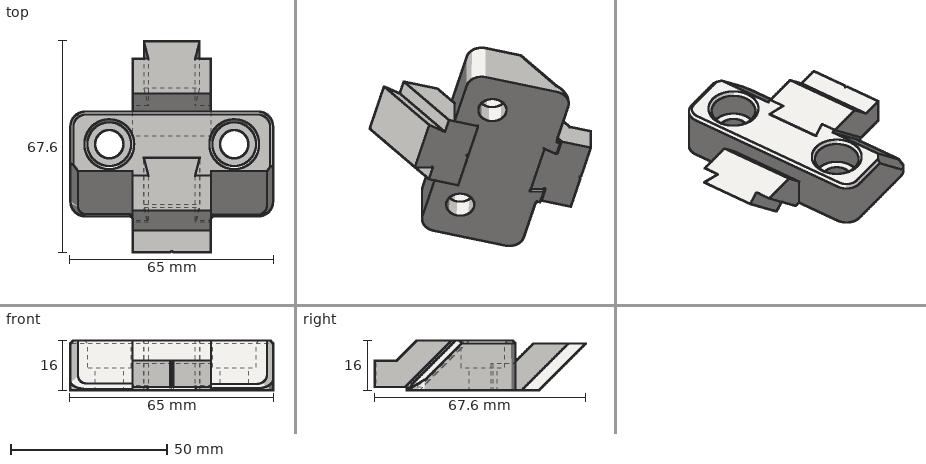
import cadquery as cq
import math


housing_width = 65.0
housing_height = 16.0
back_y = 10.5
ramp_top_y = -8.66
wall_height = 1.5
front_y = ramp_top_y - (housing_height - wall_height)
corner_radius = 5.0
top_chamfer = 1.0
left_bevel = 2.5
right_bevel = 2.0

pad_width = 25.0
pad_rise = 1.3
pad_top_y = ramp_top_y - pad_rise
pad_front_y = front_y - pad_rise
pad_blend_radius = 1.0

bolt_spacing = 40.0
bolt_diameter = 9.0
head_diameter = 14.0
head_depth = 8.8
head_chamfer = 1.0

neck_width = 15.0
tail_width = 17.9
tail_length = 5.6
slot_length = 5.75
tail_flare = (tail_width - neck_width) / (2 * tail_length)

slider_height = 15.0
slider_land = 11.2
slider_step = 6.5
tongue_length = 7.0
groove_width = 1.0
groove_depth = 0.5
working_position = (pad_top_y, housing_height - slider_height)
slider_travel = 37.34
stored_position = (pad_top_y + slider_travel, 0.0)

CUT_MARGIN = 10.0
BEVEL_OVERSHOOT = 0.2
BEVEL_REACH = 1.5
BLEND_SWEEP_END = -50
ARC_STEPS = 8


def prism_along_x(points, x_start, x_end):
    """Prism with a (y, z) outline between two X positions."""
    return cq.Workplane("YZ").workplane(offset=x_start).polyline(points).close().extrude(x_end - x_start)


def dovetail(shoulder_y, top_z, height, length):
    """Dovetail bar that runs down and forward at 45 degrees from a horizontal top outline."""
    end_width = neck_width + 2 * tail_flare * length
    outline = [
        (-neck_width / 2, shoulder_y, top_z),
        (-end_width / 2, shoulder_y + length, top_z),
        (end_width / 2, shoulder_y + length, top_z),
        (neck_width / 2, shoulder_y, top_z),
    ]
    wire = cq.Wire.makePolygon([cq.Vector(*point) for point in outline], close=True)
    return cq.Workplane(cq.Solid.extrudeLinear(wire, [], cq.Vector(0, -height, -height)))


def slider_profile(shoulder_y, bottom_z):
    """Side outline of a slider without its dovetail."""
    top_z = bottom_z + slider_height
    slope_y = shoulder_y - slider_land
    tongue_y = slope_y - slider_step
    return [
        (shoulder_y, top_z),
        (slope_y, top_z),
        (tongue_y, top_z - slider_step),
        (tongue_y - tongue_length, top_z - slider_step),
        (tongue_y - tongue_length, bottom_z),
        (shoulder_y - slider_height, bottom_z),
    ]


def slider_blank(shoulder_y, bottom_z):
    """Slider with its dovetail, before the tongue is grooved."""
    body = prism_along_x(slider_profile(shoulder_y, bottom_z), -pad_width / 2, pad_width / 2)
    return body.union(dovetail(shoulder_y, bottom_z + slider_height, slider_height, tail_length))


def make_slider(shoulder_y, bottom_z):
    """Slider with a vertical V groove marking the middle of its tongue."""
    tip_y = shoulder_y - slider_land - slider_step - tongue_length
    groove = (
        cq.Workplane("XY").workplane(offset=bottom_z)
        .polyline([(-groove_width / 2, tip_y), (0, tip_y + groove_depth), (groove_width / 2, tip_y)])
        .close().extrude(slider_height)
    )
    return slider_blank(shoulder_y, bottom_z).cut(groove)


def ramp_cutter(top_y, x_start, x_end):
    """Removes everything above a 45 degree face that leaves the top at top_y."""
    drop = housing_height + CUT_MARGIN
    outline = [
        (top_y + CUT_MARGIN, housing_height + CUT_MARGIN),
        (top_y - drop, housing_height + CUT_MARGIN),
        (top_y - drop, housing_height - drop),
    ]
    return prism_along_x(outline, x_start, x_end)


def bevel_section(ball_radius, wall_x, wall_y, normal_angle):
    """Triangle cut from the ramp edge at a wall point whose outward normal has the given angle."""
    wall_normal = cq.Vector(math.cos(normal_angle), math.sin(normal_angle), 0)
    ramp_normal = cq.Vector(0, -math.sqrt(0.5), math.sqrt(0.5))
    ball_x = wall_x - ball_radius * wall_normal.x
    ball_y = wall_y - ball_radius * wall_normal.y
    ball_z = housing_height + ball_y - ramp_top_y - ball_radius * math.sqrt(2)
    ball = cq.Vector(ball_x, ball_y, ball_z)
    on_wall = ball + wall_normal * ball_radius
    on_ramp = ball + ramp_normal * ball_radius
    overshoot = (on_wall - on_ramp) * BEVEL_OVERSHOOT
    outside = ball + (wall_normal + ramp_normal) * (BEVEL_REACH * ball_radius)
    return cq.Wire.makePolygon([on_wall + overshoot, outside, on_ramp - overshoot], close=True)


def arc_sections(ball_radius, center_x, center_y, radius, start, end):
    """Bevel sections round an arc of the wall; a negative radius gives a hollow corner."""
    sections = []
    for step in range(ARC_STEPS + 1):
        angle = math.radians(start + (end - start) * step / ARC_STEPS)
        wall_x = center_x + radius * math.cos(angle)
        wall_y = center_y + radius * math.sin(angle)
        sections.append(bevel_section(ball_radius, wall_x, wall_y, angle))
    return sections


def bevel_cutters(ball_radius):
    """Cutters that bevel the +X ramp: side wall, round corner, front wall and the blend into the pad."""
    corner_center = (housing_width / 2 - corner_radius, front_y + corner_radius)
    blend_center = (pad_width / 2 + pad_blend_radius, front_y - pad_blend_radius)
    corner = arc_sections(ball_radius, *corner_center, corner_radius, 0, -90)
    blend = arc_sections(ball_radius, *blend_center, -pad_blend_radius, -90, BLEND_SWEEP_END)
    side_start = bevel_section(ball_radius, housing_width / 2, 0, 0)
    beside_pad = (
        cq.Workplane("XY")
        .box(housing_width, 2 * housing_width, 4 * housing_height, centered=(False, True, True))
        .translate((pad_width / 2, 0, 0))
    )
    return [
        cq.Workplane(cq.Solid.makeLoft([side_start, corner[0]], True)),
        cq.Workplane(cq.Solid.makeLoft(corner)),
        cq.Workplane(cq.Solid.makeLoft([corner[-1], blend[0]], True)),
        cq.Workplane(cq.Solid.makeLoft(blend)).intersect(beside_pad),
    ]


def pad_block():
    """Full-height block of the guide pad, with hollow blends where it leaves the front wall."""
    pad = (
        cq.Workplane("XY")
        .box(pad_width, -pad_front_y, housing_height, centered=(True, False, False))
        .translate((0, pad_front_y, 0))
    )
    for side in (-1, 1):
        web = (
            cq.Workplane("XY")
            .box(pad_blend_radius, 2 * pad_blend_radius, housing_height, centered=(True, True, False))
            .translate((side * (pad_width + pad_blend_radius) / 2, front_y, 0))
        )
        hollow = (
            cq.Workplane("XY")
            .center(side * (pad_width / 2 + pad_blend_radius), front_y - pad_blend_radius)
            .circle(pad_blend_radius).extrude(housing_height)
        )
        pad = pad.union(web.cut(hollow))
    return pad


def bolt_hole(x):
    """Cutter for a through hole with a counterbore and a chamfered mouth."""
    axis = cq.Workplane("XY").center(x, 0)
    shank = axis.circle(bolt_diameter / 2).extrude(housing_height)
    head = (
        axis.workplane(offset=housing_height - head_depth)
        .circle(head_diameter / 2).extrude(head_depth)
    )
    mouth = (
        axis.workplane(offset=housing_height)
        .circle(head_diameter / 2 + head_chamfer).extrude(-head_chamfer, taper=45)
    )
    return shank.union(head).union(mouth)


def make_housing():
    """Block with two ramps, a slotted guide pad, a rear pocket and two bolt holes."""
    body = (
        cq.Workplane("XY")
        .box(housing_width, back_y - front_y, housing_height, centered=(True, False, False))
        .translate((0, front_y, 0))
        .edges("|Z").fillet(corner_radius)
        .faces(">Z").edges().chamfer(top_chamfer)
        .union(pad_block())
    )

    reach = housing_width / 2 + CUT_MARGIN
    body = body.cut(ramp_cutter(ramp_top_y, pad_width / 2, reach))
    body = body.cut(ramp_cutter(ramp_top_y, -reach, -pad_width / 2))
    body = body.cut(ramp_cutter(pad_top_y, -pad_width / 2, pad_width / 2))
    for cutter in bevel_cutters(right_bevel):
        body = body.cut(cutter)
    for cutter in bevel_cutters(left_bevel):
        body = body.cut(cutter.mirror("YZ"))

    body = body.cut(dovetail(pad_top_y, housing_height, housing_height, slot_length))
    body = body.cut(slider_blank(*stored_position))

    for x in (-bolt_spacing / 2, bolt_spacing / 2):
        body = body.cut(bolt_hole(x))
    return body


housing = make_housing()
sliders = [make_slider(*position) for position in (working_position, stored_position)]

result = cq.Compound.makeCompound([housing.val(), *[slider.val() for slider in sliders]])